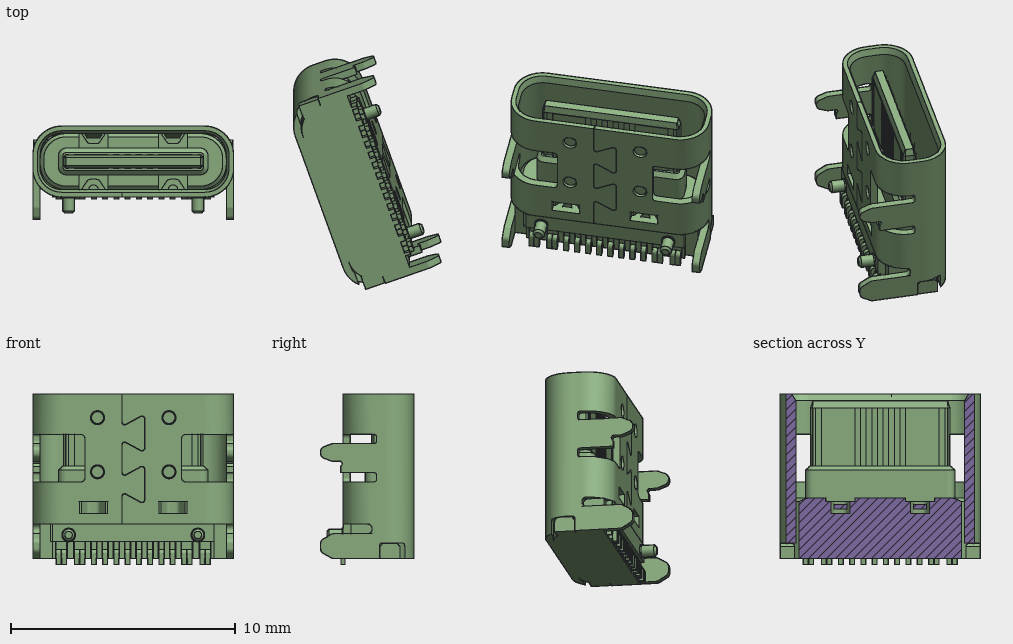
import cadquery as cq
import math


overall_depth = 4.16
overall_height = 7.6

shell_width = 8.94
shell_depth = 3.16
shell_height = 7.33
shell_radius = 1.29
wall = 0.33
lip_wall = 0.21
lip_taper_height = 0.3
half_width = shell_width / 2
half_depth = shell_depth / 2
inner_half_width = half_width - wall
inner_half_depth = half_depth - wall
front_skirt_z = 1.53

window_inner_x = 2.15
window_bottom_z = 3.41
window_top_z = 5.52
window_side_y = -0.08
window_corner_radius = 0.18
window_end_radius = 0.12
tab_tip_y = half_depth - overall_depth
tab_slope_y = 0.52
tab_tip_radius = 0.24
upper_tab_top_z = 5.12
upper_tab_bottom_z = 4.32
upper_tab_root_z = 3.82
barb_y = -1.68
barb_top_z = 4.1
barb_neck_y = -1.6
barb_neck_drop = 0.1
lower_tab_top_z = 1.105
lower_slot_end_y = -0.28
tab_root_y = 0.2

dimple_x = 1.59
dimple_heights = (3.86, 6.27)
dimple_outer_radius = 0.31
dimple_inner_radius = 0.265
dimple_depth = 0.1
seam_left_x = -0.506
seam_right_x = 0.506
seam_tooth_heights = ((5.86, 5.27), (3.62, 2.97))
seam_tooth_rise = 0.55
seam_corner_radius = 0.12
seam_width = 0.016
seam_depth = lip_wall

spring_x = 1.77
spring_window_width = 1.25
spring_window_bottom_z = 2.01
spring_window_top_z = 2.53
recess_width = 1.29
pocket_width = 1.07
pocket_depth = 0.46
pocket_flat = 0.46
pocket_corner_radius = 0.2
drain_radius = 0.21
drain_depth = 0.5
spring_width = 0.8
spring_tip_width = 0.56
spring_reach = 0.21
spring_bottom_z = 2.2
spring_top_z = 4.0

floor_z = 2.7
floor_chamfer = 0.16
insulator_radius = 1.13
base_front_y = -1.22
plate_half_width = 3.585
plate_setback = 0.01
key_width = 0.105
key_front_y = -1.5
plate_bottom_z = 0.75
lug_half_width = 4.435
lug_front_y = 0.06
lug_back_y = 0.96
lug_height = 0.66
notch_front_y = 0.04
notch_back_y = 1.17
notch_height = 0.69
notch_radius = 0.12

pedestal_width = 6.66
pedestal_depth = 1.19
pedestal_radius = 0.35
pedestal_top_z = 4.12
pedestal_chamfer_rise = 0.19
pedestal_chamfer_run = 0.2
tongue_width = 6.2
tongue_thickness = 0.56
tongue_top_z = 7.0
tongue_corner = 0.08
tongue_tip_rise = 0.3
tongue_tip_run = 0.1
contact_height = 0.03
contact_width = 0.25
contact_pitch = 0.5
inner_contacts = 6
contact_top_z = tongue_top_z - tongue_tip_rise
wide_contact_inner_x = 1.37
wide_contact_outer_x = 2.61
end_contact_inner_x = 2.87
end_contact_outer_x = 3.0

narrow_pin_width = 0.23
wide_pin_width = 0.47
pin_pitch = 0.5
narrow_pins = 8
wide_pin_positions = (2.385, 3.195)
pin_front_y = -1.67
pin_thickness = 0.19
pin_bottom_z = shell_height - overall_height
pin_bend_top_z = 0.4
riser_front_y = -1.42
pin_pair_gap = 0.02
pin_slot_clearance = 0.03
comb_front_y = -1.45
post_x = 2.875
post_z = 1.05
post_radius = 0.265
post_collar_radius = 0.305
post_collar_y = -1.63
post_tip_y = -2.3
post_chamfer = 0.1


def box(x0, x1, y0, y1, z0, z1):
    """Axis-aligned block between two corners."""
    return cq.Workplane("XY").box(x1 - x0, y1 - y0, z1 - z0, centered=False).translate((x0, y0, z0))


def mirrored(body):
    """A body together with its reflection in the YZ plane."""
    return body.union(body.mirror("YZ"))


def rounded_prism(half_x, half_y, radius, z0, z1):
    """Upright prism with rounded vertical corners."""
    return box(-half_x, half_x, -half_y, half_y, z0, z1).edges("|Z").fillet(radius)


def shell_tube():
    """Rounded tube with a mouth that widens towards the rim."""
    tube = rounded_prism(half_width, half_depth, shell_radius, 0, shell_height)
    tube = tube.cut(rounded_prism(inner_half_width, inner_half_depth, shell_radius - wall, 0, shell_height))
    flare = math.degrees(math.atan((wall - lip_wall) / lip_taper_height))
    mouth = (
        rounded_prism(half_width - lip_wall, half_depth - lip_wall, shell_radius - lip_wall, 0, shell_height)
        .faces(">Z")
        .wires()
        .toPending()
        .workplane()
        .extrude(-lip_taper_height, combine=False, taper=flare)
    )
    return tube.cut(mouth)


def side_window():
    """Cutter for one window that wraps from the front wall round to the side."""
    front = box(window_inner_x, half_width, -half_depth, -half_depth / 2, window_bottom_z, window_top_z)
    front = front.edges("|Y and <X").fillet(window_corner_radius)
    side_x = half_width - shell_radius
    straight_y = window_side_y - window_end_radius
    cutter = front.union(box(side_x, half_width, -half_depth, straight_y, window_bottom_z, window_top_z))
    for z0, z1 in ((window_bottom_z, upper_tab_root_z), (upper_tab_top_z, window_top_z)):
        slot = box(side_x, half_width, -half_depth, window_side_y, z0, z1)
        cutter = cutter.union(slot.edges("|X and >Y").fillet(window_end_radius))
    return cutter


def skirt_cut():
    """Cutter that ends the front wall above the pins, with a round slot end on each side."""
    slot_height = front_skirt_z - lower_tab_top_z
    slot_radius = slot_height / 2
    straight_y = lower_slot_end_y - slot_radius
    cutter = box(-half_width, half_width, -half_depth, straight_y, 0, front_skirt_z)
    rounds = (
        cq.Workplane("YZ")
        .center(straight_y, front_skirt_z - slot_radius)
        .circle(slot_radius)
        .extrude(half_width, both=True)
    )
    return cutter.union(rounds)


def tab_plate(outline):
    """One side tab: an outline in Y and Z with the thickness of the wall, rounded at the tip."""
    plate = cq.Workplane("YZ").workplane(offset=inner_half_width).polyline(outline).close().extrude(wall)
    tip_zone = cq.selectors.BoxSelector(
        (0, tab_tip_y - wall, -wall),
        (shell_width, tab_tip_y + tab_slope_y + wall / 2, shell_height),
    )
    return plate.edges("|X").edges(tip_zone).fillet(tab_tip_radius)


def upper_tab():
    tip_slope = 0.2
    slope_start_y = tab_tip_y + tab_slope_y
    return tab_plate([
        (tab_root_y, upper_tab_root_z),
        (tab_root_y, upper_tab_top_z),
        (slope_start_y, upper_tab_top_z),
        (tab_tip_y, upper_tab_top_z - tip_slope),
        (tab_tip_y, upper_tab_bottom_z + tip_slope),
        (slope_start_y, upper_tab_bottom_z),
        (barb_y, upper_tab_bottom_z),
        (barb_neck_y, upper_tab_bottom_z - barb_neck_drop),
        (barb_y, barb_top_z),
        (barb_y, upper_tab_root_z),
    ])


def lower_tab():
    tip_slope = 0.3
    slope_start_y = tab_tip_y + tab_slope_y
    return tab_plate([
        (tab_root_y - wall, 0),
        (tab_root_y - wall, lower_tab_top_z),
        (slope_start_y, lower_tab_top_z),
        (tab_tip_y, lower_tab_top_z - tip_slope),
        (tab_tip_y, tip_slope),
        (slope_start_y, 0),
    ])


def dimples():
    """Shallow conical recesses in the front wall."""
    cone = cq.Solid.makeCone(
        dimple_outer_radius, dimple_inner_radius, dimple_depth,
        cq.Vector(0, -half_depth, 0), cq.Vector(0, 1, 0),
    )
    points = [(x, 0, z) for x in (-dimple_x, dimple_x) for z in dimple_heights]
    cutter = cq.Workplane("XY")
    for point in points:
        cutter = cutter.add(cone.translate(cq.Vector(*point)))
    return cutter.combine()


def seam():
    """Fine dovetail joint line engraved along the front wall."""
    left_x = -window_inner_x
    top_z = shell_height + wall
    outline = [(left_x, top_z), (seam_left_x, top_z)]
    for upper_z, lower_z in seam_tooth_heights:
        outline += [
            (seam_left_x, upper_z),
            (seam_right_x, upper_z + seam_tooth_rise),
            (seam_right_x, lower_z - seam_tooth_rise),
            (seam_left_x, lower_z),
        ]
    outline += [(seam_left_x, 0), (left_x, 0)]
    plane = cq.Workplane("XZ", origin=(0, -half_depth + seam_depth, 0))
    half = plane.polyline(outline).close().extrude(seam_depth)
    tooth_zone = cq.selectors.BoxSelector(
        (seam_left_x - seam_width, -shell_depth, front_skirt_z),
        (seam_right_x + seam_width, 0, shell_height),
    )
    half = half.edges("|Y").edges(tooth_zone).fillet(seam_corner_radius)
    wider = half.faces("<Y").wires().toPending().offset2D(seam_width).extrude(-seam_depth, combine=False)
    ring = wider.cut(half)
    kept = box(seam_left_x - seam_width, half_width, -shell_depth, 0, front_skirt_z, shell_height)
    return ring.intersect(kept)


def lug_notch():
    """Cutter for the shell around one insulator lug."""
    notch = box(inner_half_width - shell_radius, half_width, notch_front_y, notch_back_y, 0, notch_height)
    return notch.edges("|X and >Z").fillet(notch_radius)


def spring_windows():
    """Cutter for the two small windows low in the front wall."""
    half = spring_window_width / 2
    return mirrored(box(
        spring_x - half, spring_x + half, -half_depth, -inner_half_depth,
        spring_window_bottom_z, spring_window_top_z,
    ))


def back_springs():
    """Two wedge-shaped springs that lean inwards from the back wall."""
    y0 = inner_half_depth
    outline = [
        (spring_x - spring_width / 2, y0),
        (spring_x - spring_tip_width / 2, y0 - spring_reach),
        (spring_x + spring_tip_width / 2, y0 - spring_reach),
        (spring_x + spring_width / 2, y0),
    ]
    block = cq.Workplane("XY").workplane(offset=spring_bottom_z).polyline(outline).close()
    block = block.extrude(spring_top_z - spring_bottom_z)
    slope = (
        cq.Workplane("YZ")
        .polyline([
            (y0, spring_bottom_z),
            (y0 - spring_reach, spring_bottom_z),
            (y0, spring_top_z),
        ])
        .close()
        .extrude(half_width)
    )
    return mirrored(block.intersect(slope))


def make_shell():
    shell = shell_tube()
    shell = shell.cut(mirrored(side_window())).cut(skirt_cut())
    shell = shell.cut(mirrored(lug_notch())).cut(spring_windows())
    shell = shell.cut(dimples()).cut(seam())
    return shell.union(mirrored(upper_tab())).union(mirrored(lower_tab())).union(back_springs())


def spring_pockets():
    """Recesses in the insulator floor that give the springs room, at the front and the back."""
    half_recess = recess_width / 2
    recess_bottom = floor_z - floor_chamfer
    recess = box(
        spring_x - half_recess, spring_x + half_recess,
        -inner_half_depth, inner_half_depth, recess_bottom, floor_z,
    )
    bottom_y = inner_half_depth - pocket_depth
    pocket_plane = cq.Workplane("XY").workplane(offset=spring_window_bottom_z)
    back = (
        pocket_plane
        .polyline([
            (spring_x - pocket_width / 2, inner_half_depth),
            (spring_x - pocket_flat / 2, bottom_y),
            (spring_x + pocket_flat / 2, bottom_y),
            (spring_x + pocket_width / 2, inner_half_depth),
        ])
        .close()
        .extrude(floor_z - spring_window_bottom_z)
        .edges("|Z and <Y")
        .fillet(pocket_corner_radius)
    )
    front = back.mirror("XZ")
    drain = pocket_plane.center(spring_x, -inner_half_depth).circle(drain_radius).extrude(-drain_depth)
    shell_side = box(0, half_width, -half_depth, -inner_half_depth, 0, floor_z)
    return mirrored(recess.union(back).union(front).union(drain.cut(shell_side)))


def insulator_body():
    body = rounded_prism(inner_half_width, inner_half_depth, insulator_radius, 0, floor_z)
    body = body.faces(">Z").chamfer(floor_chamfer)
    body = body.cut(box(-half_width, half_width, -half_depth, base_front_y, 0, front_skirt_z))
    base = box(-inner_half_width, inner_half_width, base_front_y, 0, 0, front_skirt_z)
    plate = box(
        -plate_half_width, plate_half_width, -half_depth + plate_setback, base_front_y,
        plate_bottom_z, front_skirt_z,
    )
    key = box(
        -plate_half_width - key_width, -plate_half_width, key_front_y, base_front_y,
        plate_bottom_z, front_skirt_z,
    )
    lug = box(inner_half_width - wall, lug_half_width, lug_front_y, lug_back_y, 0, lug_height)
    lug = lug.edges("|X and >Z").chamfer(notch_radius)
    body = body.cut(spring_pockets())
    return body.union(base).union(plate).union(key).union(mirrored(lug))


def tongue():
    """Contact blade on a chamfered pedestal."""
    shoulder_z = pedestal_top_z - pedestal_chamfer_rise
    pedestal = rounded_prism(
        pedestal_width / 2, pedestal_depth / 2, pedestal_radius,
        front_skirt_z, pedestal_top_z,
    )
    pedestal = pedestal.faces(">Z").chamfer(pedestal_chamfer_rise, pedestal_chamfer_run)
    half_x = tongue_width / 2
    half_y = tongue_thickness / 2
    blade = box(-half_x, half_x, -half_y, half_y, shoulder_z, tongue_top_z - tongue_tip_rise)
    blade = blade.edges("|Z").chamfer(tongue_corner)
    tip_angle = math.degrees(math.atan(tongue_tip_run / tongue_tip_rise))
    tip = blade.faces(">Z").wires().toPending().workplane()
    tip = tip.extrude(tongue_tip_rise, combine=False, taper=tip_angle)
    return pedestal.union(blade).union(tip)


def tongue_contacts():
    """Flat contacts that stand slightly proud of both faces of the tongue."""
    reach_y = tongue_thickness / 2 + contact_height
    spans = [
        (wide_contact_inner_x, wide_contact_outer_x),
        (-wide_contact_outer_x, -wide_contact_inner_x),
        (end_contact_inner_x, end_contact_outer_x),
        (-end_contact_outer_x, -end_contact_inner_x),
    ]
    for index in range(inner_contacts):
        x = (index - (inner_contacts - 1) / 2) * contact_pitch
        spans.append((x - contact_width / 2, x + contact_width / 2))
    contacts = cq.Workplane("XY")
    for x0, x1 in spans:
        contacts = contacts.union(box(x0, x1, -reach_y, reach_y, floor_z, contact_top_z))
    return contacts


def pin_foot(x, width):
    """Lower part of a pin, which steps forwards and bends down to the board edge."""
    x0 = x - width / 2
    x1 = x + width / 2
    foot = box(x0, x1, pin_front_y, base_front_y, pin_bottom_z, pin_bend_top_z)
    foot = foot.edges("|X and <Y and >Z").fillet(pin_thickness)
    inner_corner_z = pin_bend_top_z - pin_thickness
    return foot.cut(box(x0, x1, pin_front_y + pin_thickness, base_front_y, pin_bottom_z, inner_corner_z))


def pin_riser(x, width):
    """Upper part of a pin, which rises in front of the insulator."""
    return box(x - width / 2, x + width / 2, riser_front_y, base_front_y, pin_bend_top_z, plate_bottom_z)


def pins_and_comb():
    """Row of solder pins in the slots of an insulating comb; a wide pin has two feet side by side."""
    comb = box(-plate_half_width, plate_half_width, comb_front_y, base_front_y, 0, plate_bottom_z)
    row = cq.Workplane("XY")
    places = [((i - (narrow_pins - 1) / 2) * pin_pitch, narrow_pin_width) for i in range(narrow_pins)]
    for x in wide_pin_positions:
        places += [(-x, wide_pin_width), (x, wide_pin_width)]
    for x, width in places:
        reach = width / 2 + pin_slot_clearance
        comb = comb.cut(box(x - reach, x + reach, comb_front_y, base_front_y, 0, plate_bottom_z))
        if width == wide_pin_width:
            single_width = (wide_pin_width - pin_pair_gap) / 2
            offset = (single_width + pin_pair_gap) / 2
            row = row.union(pin_foot(x - offset, single_width)).union(pin_foot(x + offset, single_width))
        else:
            row = row.union(pin_foot(x, width))
        row = row.union(pin_riser(x, width))
    return comb.union(row)


def locating_post():
    """Round post with a collar and a chamfered tip."""
    plane = cq.Workplane("XZ", origin=(post_x, base_front_y, post_z))
    collar = plane.circle(post_collar_radius).extrude(base_front_y - post_collar_y)
    post = plane.circle(post_radius).extrude(base_front_y - post_tip_y).faces("<Y").chamfer(post_chamfer)
    return collar.union(post)


result = make_shell().union(insulator_body())
result = result.union(tongue()).union(tongue_contacts())
result = result.union(pins_and_comb()).union(mirrored(locating_post()))